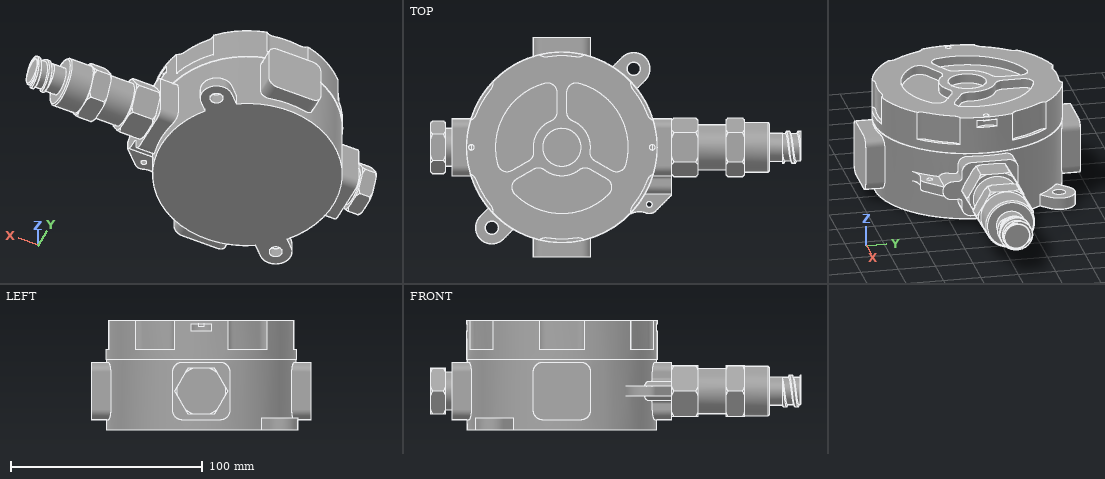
import cadquery as cq
import math

HOUSING_D = 99.4
HOUSING_H = 37.0
PORT_SPAN = 115.0
PORT_SIZE = 30.0
PORT_FLOOR_GAP = 5.5
PORT_FILLET = 5.0

LUG_A_X = 37.7
LUG_A_Y = 41.1
LUG_B_X = -36.7
LUG_B_Y = -42.1
LUG_R = 8.5
LUG_HOLE_D = 6.8
LUG_T = 6.5

BOSS_R = 5.0
BOSS_Y = -20.2
BOSS_BLEND = 1.85
TAB_T = 5.2
TAB_X = 45.8
TAB_Y = -29.9
TAB_R = 4.9
TAB_HOLE_D = 3.0
TAB_BLEND = 10.0

LID_D = 100.0
LID_H = 20.4
NOTCH_COUNT = 6
NOTCH_DEPTH = 2.0
NOTCH_HALF_WIDTH = 13.5
NOTCH_FILLET = 5.0
NOTCH_H = 15.1
RECESS_DEPTH = 5.0
RECESS_OUTER_R = 34.7
RECESS_HUB_R = 15.0
CENTRE_RECESS_D = 20.0
SPOKE_COUNT = 3
SPOKE_W = 5.0
RECESS_OUTER_FILLET = 5.0
RECESS_HUB_FILLET = 5.0
SEAL_HOLE_D = 3.0
SEAL_HOLE_R = 47.4
SEAL_HOLE_DEPTH = 3.1
SEAL_SLOT_D = 15.0
SEAL_SLOT_FLOOR_R = 47.4
SEAL_SLOT_H = 3.9
SEAL_SLOT_TOP_GAP = 1.7

PLUG_COLLAR_D = 20.0
PLUG_COLLAR_L = 3.3
PLUG_HEX_FLATS = 24.0
PLUG_HEX_L = 8.0

HEX_FLATS = 26.8
HEX_CHAMFER = 1.2
GLAND_HEX_L = 13.8
GLAND_BARREL_D = 23.9
GLAND_BARREL_L = 14.5
COUPLING_HEX_L = 9.9
COUPLING_BARREL_D = 26.2
COUPLING_BARREL_L = 13.0
BARREL_CHAMFER = 0.8

SPIGOT_D = 15.0
SPIGOT_PLAIN_L = 6.8
SPIGOT_THREAD_L = 9.7
SPIGOT_CHAMFER = 0.5
THREAD_CORE_D = 14.5
THREAD_D = 16.9
THREAD_PITCH = 6.0
THREAD_ROOT_W = 3.0
THREAD_CREST_W = 1.5
THREAD_SINK = 0.4
THREAD_PHASE = -80.0

HOUSING_R = HOUSING_D / 2
PORT_REACH = PORT_SPAN / 2
PORT_Z = PORT_FLOOR_GAP + PORT_SIZE / 2
LID_R = LID_D / 2
LID_TOP = HOUSING_H + LID_H
GLAND_X = PORT_REACH
COUPLING_X = GLAND_X + GLAND_HEX_L + GLAND_BARREL_L
SPIGOT_X = COUPLING_X + COUPLING_HEX_L + COUPLING_BARREL_L
THREAD_X = SPIGOT_X + SPIGOT_PLAIN_L


def rod_x(x, diameter, length):
    """Cylinder on the port axis, from x toward +X."""
    plane = cq.Plane((x, 0, PORT_Z), (0, 1, 0), (1, 0, 0))
    return cq.Workplane(plane).circle(diameter / 2).extrude(length)


def hex_x(x, flats, length):
    """Hexagon on the port axis with corners toward +Y and -Y, chamfered at both ends."""
    corners = flats / math.cos(math.radians(30))
    plane = cq.Plane((x, 0, PORT_Z), (0, 1, 0), (1, 0, 0))
    prism = cq.Workplane(plane).polygon(6, corners).extrude(length)
    envelope = rod_x(x, corners, length).faces("<X or >X").chamfer(HEX_CHAMFER)
    return prism.intersect(envelope)


def port_bar(angle):
    """Square bar with rounded long edges, through the housing at the given angle."""
    bar = cq.Workplane("XY").box(2 * PORT_REACH, PORT_SIZE, PORT_SIZE).edges("|X").fillet(PORT_FILLET)
    return bar.rotate((0, 0, 0), (0, 0, 1), angle).translate((0, 0, PORT_Z))


def mounting_lug(x, y, arm_angle):
    """Round-ended lug centred at x, y, with an arm toward the housing at the given angle."""
    lug = cq.Workplane("XY").center(x, y).circle(LUG_R).extrude(LUG_T)
    arm = (
        cq.Workplane("XY")
        .box(2 * LUG_R, 2 * LUG_R, LUG_T, centered=(False, True, False))
        .rotate((0, 0, 0), (0, 0, 1), arm_angle)
        .translate((x, y, 0))
    )
    hole = cq.Workplane("XY").center(x, y).circle(LUG_HOLE_D / 2).extrude(LUG_T)
    return lug.union(arm).cut(hole)


def terminal_boss():
    """Round-edged boss along the cable port, blended into the port side."""
    port_y = -PORT_SIZE / 2
    blend_y = port_y - BOSS_BLEND
    blend_h = BOSS_R + BOSS_BLEND
    bend = BOSS_BLEND * (1 - math.sqrt(0.5))
    profile = (
        cq.Workplane("YZ")
        .moveTo(0, -blend_h)
        .lineTo(port_y, -blend_h)
        .threePointArc((port_y - bend, -BOSS_R - bend), (blend_y, -BOSS_R))
        .lineTo(BOSS_Y, -BOSS_R)
        .threePointArc((BOSS_Y - BOSS_R, 0), (BOSS_Y, BOSS_R))
        .lineTo(blend_y, BOSS_R)
        .threePointArc((port_y - bend, BOSS_R + bend), (port_y, blend_h))
        .lineTo(0, blend_h)
        .close()
    )
    return profile.extrude(PORT_REACH).translate((0, 0, PORT_Z))


def terminal_tab():
    """Flat earth tab: round nose, 45 degree flank and a hollow blend to the housing."""
    from_axis = HOUSING_R + TAB_BLEND
    from_hole = TAB_R + TAB_BLEND
    hole_r = math.hypot(TAB_X, TAB_Y)
    along = (from_axis**2 - from_hole**2 + hole_r**2) / (2 * hole_r)
    across = math.sqrt(from_axis**2 - along**2)
    ux, uy = TAB_X / hole_r, TAB_Y / hole_r
    blend_x = along * ux + across * uy
    blend_y = along * uy - across * ux

    housing_point = (blend_x * HOUSING_R / from_axis, blend_y * HOUSING_R / from_axis)
    nose_point = (
        TAB_X + (blend_x - TAB_X) * TAB_R / from_hole,
        TAB_Y + (blend_y - TAB_Y) * TAB_R / from_hole,
    )
    middle_x = (housing_point[0] + nose_point[0]) / 2 - blend_x
    middle_y = (housing_point[1] + nose_point[1]) / 2 - blend_y
    stretch = TAB_BLEND / math.hypot(middle_x, middle_y)
    blend_middle = (blend_x + middle_x * stretch, blend_y + middle_y * stretch)

    diagonal = TAB_R * math.sqrt(0.5)
    flank_start = (TAB_X + diagonal, TAB_Y - diagonal)
    flank_end = (PORT_REACH, flank_start[1] + PORT_REACH - flank_start[0])
    tab = (
        cq.Workplane("XY")
        .moveTo(0, BOSS_Y)
        .lineTo(*housing_point)
        .threePointArc(blend_middle, nose_point)
        .threePointArc((TAB_X, TAB_Y - TAB_R), flank_start)
        .lineTo(*flank_end)
        .lineTo(PORT_REACH, BOSS_Y)
        .close()
        .extrude(TAB_T)
    )
    hole = cq.Workplane("XY").center(TAB_X, TAB_Y).circle(TAB_HOLE_D / 2).extrude(TAB_T)
    return tab.cut(hole).translate((0, 0, PORT_Z - TAB_T / 2))


def make_housing():
    body = cq.Workplane("XY").circle(HOUSING_R).extrude(HOUSING_H)
    for angle in (0, 90):
        body = body.union(port_bar(angle))
    body = body.union(mounting_lug(LUG_A_X, LUG_A_Y, 225))
    body = body.union(mounting_lug(LUG_B_X, LUG_B_Y, 45))
    return body.union(terminal_boss()).union(terminal_tab())


def grip_notch(angle):
    """Shallow notch in the rim with its floor concentric to the lid and rounded ends."""
    ring = cq.Workplane("XY").circle(LID_D).circle(LID_R - NOTCH_DEPTH).extrude(NOTCH_H)
    strip = cq.Workplane("XY").rect(LID_D, 2 * NOTCH_HALF_WIDTH).extrude(NOTCH_H).translate((LID_R, 0, 0))
    notch = ring.intersect(strip).edges("|Z and <X").fillet(NOTCH_FILLET)
    return notch.rotate((0, 0, 0), (0, 0, 1), angle).translate((0, 0, LID_TOP - NOTCH_H))


def spoke_recesses():
    """Three equal recesses between the hub ring and the rim, parted by spokes."""
    floor_z = LID_TOP - RECESS_DEPTH
    recess = cq.Workplane("XY").circle(RECESS_OUTER_R).circle(RECESS_HUB_R).extrude(RECESS_DEPTH)
    for i in range(SPOKE_COUNT):
        spoke = (
            cq.Workplane("XY")
            .box(LID_R, SPOKE_W, RECESS_DEPTH, centered=(False, True, False))
            .rotate((0, 0, 0), (0, 0, 1), 90 + i * 360 / SPOKE_COUNT)
        )
        recess = recess.cut(spoke)
    reach = RECESS_HUB_R + SPOKE_W
    near_hub = cq.selectors.BoxSelector((-reach, -reach, 0), (reach, reach, RECESS_DEPTH))
    recess = recess.edges("|Z").edges(-near_hub).fillet(RECESS_OUTER_FILLET)
    recess = recess.edges("|Z").edges(near_hub).fillet(RECESS_HUB_FILLET)
    return recess.translate((0, 0, floor_z))


def seal_opening(side):
    """Small hole from the lid top into a hollow slot in the rim; side is +1 or -1."""
    hole = (
        cq.Workplane("XY", origin=(side * SEAL_HOLE_R, 0, LID_TOP - SEAL_HOLE_DEPTH))
        .circle(SEAL_HOLE_D / 2)
        .extrude(SEAL_HOLE_DEPTH)
    )
    slot_x = side * (SEAL_SLOT_FLOOR_R + SEAL_SLOT_D / 2)
    slot_z = LID_TOP - SEAL_SLOT_TOP_GAP - SEAL_SLOT_H
    slot = cq.Workplane("XY", origin=(slot_x, 0, slot_z)).circle(SEAL_SLOT_D / 2).extrude(SEAL_SLOT_H)
    return hole.union(slot)


def make_lid():
    lid = cq.Workplane("XY", origin=(0, 0, HOUSING_H)).circle(LID_R).extrude(LID_H)
    for i in range(NOTCH_COUNT):
        lid = lid.cut(grip_notch(30 + i * 360 / NOTCH_COUNT))
    lid = lid.cut(spoke_recesses())
    centre_recess = (
        cq.Workplane("XY", origin=(0, 0, LID_TOP - RECESS_DEPTH))
        .circle(CENTRE_RECESS_D / 2)
        .extrude(RECESS_DEPTH)
    )
    lid = lid.cut(centre_recess)
    for side in (1, -1):
        lid = lid.cut(seal_opening(side))
    return lid


def make_plug():
    collar_x = -PORT_REACH - PLUG_COLLAR_L
    collar = rod_x(collar_x, PLUG_COLLAR_D, PLUG_COLLAR_L)
    return collar.union(hex_x(collar_x - PLUG_HEX_L, PLUG_HEX_FLATS, PLUG_HEX_L))


def make_gland():
    barrel = rod_x(GLAND_X + GLAND_HEX_L, GLAND_BARREL_D, GLAND_BARREL_L)
    return hex_x(GLAND_X, HEX_FLATS, GLAND_HEX_L).union(barrel)


def make_coupling():
    barrel = rod_x(COUPLING_X + COUPLING_HEX_L, COUPLING_BARREL_D, COUPLING_BARREL_L)
    barrel = barrel.faces(">X").chamfer(BARREL_CHAMFER)
    return hex_x(COUPLING_X, HEX_FLATS, COUPLING_HEX_L).union(barrel)


def thread_ridge():
    """Helical ridge about +Z, running past both ends of the threaded length."""
    root_r = THREAD_CORE_D / 2 - THREAD_SINK
    length = SPIGOT_THREAD_L + 2 * THREAD_PITCH
    helix = cq.Wire.makeHelix(THREAD_PITCH, length, root_r)
    profile = (
        cq.Workplane("XZ")
        .moveTo(root_r, -THREAD_ROOT_W / 2)
        .lineTo(THREAD_D / 2, -THREAD_CREST_W / 2)
        .lineTo(THREAD_D / 2, THREAD_CREST_W / 2)
        .lineTo(root_r, THREAD_ROOT_W / 2)
        .close()
    )
    ridge = profile.sweep(cq.Workplane(obj=helix), isFrenet=True)
    return ridge.translate((0, 0, -THREAD_PITCH))


def make_spigot():
    plain = rod_x(SPIGOT_X, SPIGOT_D, SPIGOT_PLAIN_L)
    core = rod_x(THREAD_X, THREAD_CORE_D, SPIGOT_THREAD_L).faces(">X").chamfer(SPIGOT_CHAMFER)
    ridge = (
        thread_ridge()
        .rotate((0, 0, 0), (0, 0, 1), THREAD_PHASE)
        .rotate((0, 0, 0), (0, 1, 0), 90)
        .translate((THREAD_X, 0, PORT_Z))
    )
    ridge = ridge.intersect(rod_x(THREAD_X, THREAD_D + 2, SPIGOT_THREAD_L))
    return plain.union(core).union(ridge)


housing = make_housing()
lid = make_lid()
plug = make_plug()
gland = make_gland()
coupling = make_coupling()
spigot = make_spigot()

result = cq.Compound.makeCompound(
    [housing.val(), lid.val(), plug.val(), gland.val(), coupling.val(), spigot.val()]
)